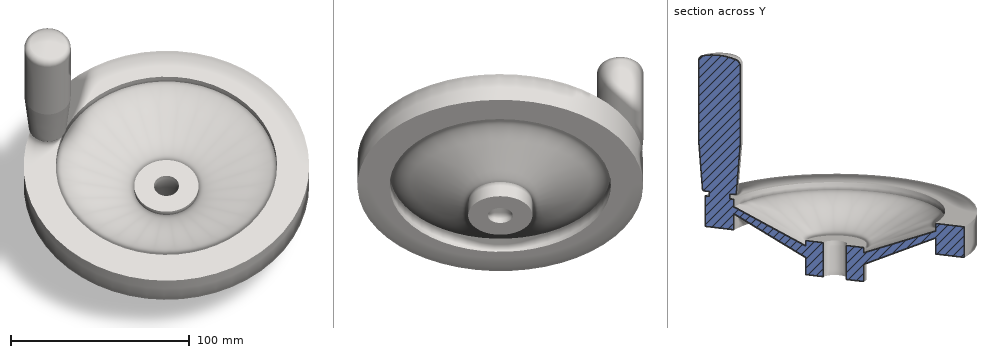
import cadquery as cq
import math

RIM_RADIUS = 80.0
RIM_INNER_RADIUS = 62.0
RIM_BOTTOM = 21.0
RIM_WIDTH = 18.0
HUB_RADIUS = 18.0
HUB_LENGTH = 20.0
BORE_RADIUS = 7.0

WEB_HUB_BOTTOM = 10.0
WEB_HUB_TOP = 17.0
WEB_RIM_BOTTOM = 30.2
DISH_STEP = 4.5

HANDLE_X = -71.0
NECK_RADIUS = 6.5
NECK_LENGTH = 2.5
GRIP_LENGTH = 80.0
GRIP_RADIUS = 13.0
GRIP_END_RADIUS = 10.5
GRIP_END_FILLET = 1.5
TAPER_LENGTH = 30.0
CROWN_RADIUS = 40.0
SHOULDER_FILLET = 4.0

RIM_TOP = RIM_BOTTOM + RIM_WIDTH


def revolve_about_z(section):
    """Turn a half section, drawn in the XZ plane, about the Z axis."""
    return section.revolve(360, (0, 0, 0), (0, 1, 0))


def make_wheel():
    """Handwheel whose conical web leaves a dish above and a recess below."""
    section = (
        cq.Workplane("XZ")
        .moveTo(BORE_RADIUS, 0)
        .lineTo(HUB_RADIUS, 0)
        .lineTo(HUB_RADIUS, WEB_HUB_BOTTOM)
        .lineTo(RIM_INNER_RADIUS, WEB_RIM_BOTTOM)
        .lineTo(RIM_INNER_RADIUS, RIM_BOTTOM)
        .lineTo(RIM_RADIUS, RIM_BOTTOM)
        .lineTo(RIM_RADIUS, RIM_TOP)
        .lineTo(RIM_INNER_RADIUS, RIM_TOP)
        .lineTo(RIM_INNER_RADIUS, RIM_TOP - DISH_STEP)
        .lineTo(HUB_RADIUS, WEB_HUB_TOP)
        .lineTo(HUB_RADIUS, HUB_LENGTH)
        .lineTo(BORE_RADIUS, HUB_LENGTH)
        .close()
    )
    return revolve_about_z(section)


def make_grip():
    """Grip with a tapered lower end and a domed top, standing on Z = 0."""
    dome_centre = GRIP_LENGTH - CROWN_RADIUS
    dome_angle = math.asin((GRIP_RADIUS - SHOULDER_FILLET) / (CROWN_RADIUS - SHOULDER_FILLET))
    dome_edge = (
        CROWN_RADIUS * math.sin(dome_angle),
        dome_centre + CROWN_RADIUS * math.cos(dome_angle),
    )
    shoulder_bottom = dome_centre + (CROWN_RADIUS - SHOULDER_FILLET) * math.cos(dome_angle)
    section = (
        cq.Workplane("XZ")
        .lineTo(GRIP_END_RADIUS, 0)
        .lineTo(GRIP_RADIUS, TAPER_LENGTH)
        .lineTo(GRIP_RADIUS, shoulder_bottom)
        .tangentArcPoint(dome_edge, relative=False)
        .radiusArc((0, GRIP_LENGTH), -CROWN_RADIUS)
        .close()
    )
    return revolve_about_z(section).faces("<Z").edges().fillet(GRIP_END_FILLET)


def make_handle():
    """Neck and grip placed on the upper face of the rim."""
    neck = cq.Workplane("XY").circle(NECK_RADIUS).extrude(NECK_LENGTH)
    handle = neck.union(make_grip().translate((0, 0, NECK_LENGTH)))
    return handle.translate((HANDLE_X, 0, RIM_TOP))


result = make_wheel().union(make_handle())